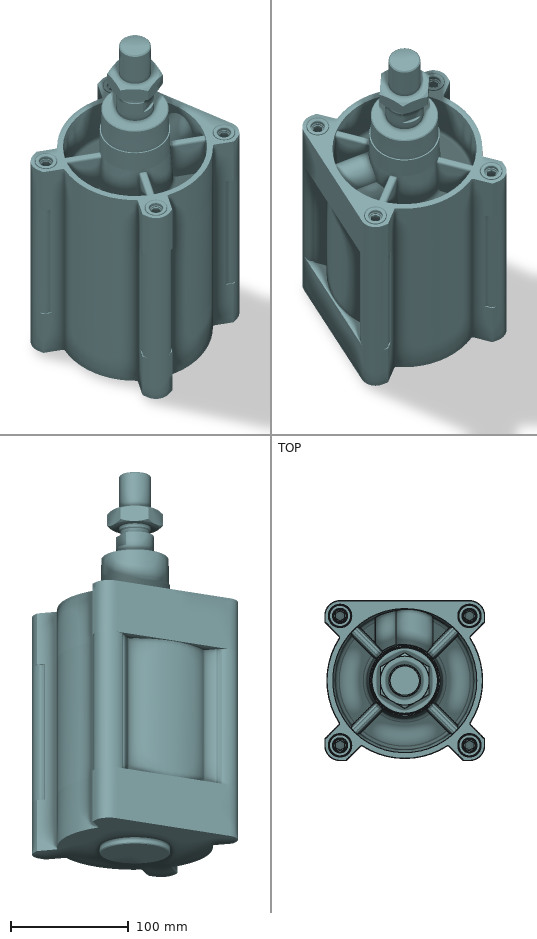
import cadquery as cq
import math


TOTAL_LENGTH = 335.0
REAR_BOSS_LENGTH = 5.5
HOUSING_LENGTH = 211.0
CAP_LENGTH = 45.3
FRONT_FACE_Z = REAR_BOSS_LENGTH + HOUSING_LENGTH
BARREL_START_Z = REAR_BOSS_LENGTH + CAP_LENGTH
BARREL_LENGTH = HOUSING_LENGTH - 2 * CAP_LENGTH

SQUARE_SIZE = 136.0
BODY_DIAMETER = 132.5
SCREW_SPACING = 110.0
HALF_SQUARE = SQUARE_SIZE / 2
SCREW_OFFSET = SCREW_SPACING / 2
LUG_RADIUS = HALF_SQUARE - SCREW_OFFSET
LUG_BLEND_RADIUS = 1.5
GROOVE_OUTER_DISTANCE = 82.0
GROOVE_DEEPEST_DISTANCE = 78.6
GROOVE_STEP_DISTANCE = 77.2
GROOVE_INNER_DISTANCE = 75.8
GROOVE_DEPTH = 0.9

BOSS_DIAMETER = 60.0
REAR_BOSS_CHAMFER = 0.8
COLLAR_SHOULDER_Z = 237.0
COLLAR_TOP_Z = 261.7
COLLAR_NOSE_BASE_DIAMETER = 58.0
COLLAR_NOSE_TOP_DIAMETER = 57.2
COLLAR_EDGE_CHAMFER = 0.8
RECESS_DEPTH = 38.0
RECESS_FLOOR_Z = FRONT_FACE_Z - RECESS_DEPTH
RECESS_TOP_DIAMETER = 122.5
RECESS_FLOOR_DIAMETER = 117.0
COLLAR_FOOT_DIAMETER = 65.0
RECESS_FLOOR_FILLET = 3.0

RIB_TOP_WIDTH = 6.8
RIB_FLOOR_WIDTH = 9.8
RIB_TOP_GAP = 2.2
RIB_FILLET = 2.0
PORT_X = 8.2
PORT_DIAMETER = 31.5
PORT_DEPTH = CAP_LENGTH / 2
CUSHION_X = -10.0
CUSHION_DIAMETER = 30.4
CUSHION_DEPTH = 35.0

SCREW_SEAT_TOP_DIAMETER = 19.9
SCREW_SEAT_DIAMETER = 18.63
SCREW_HEAD_DIAMETER = 18.0
SCREW_SEAT_DEPTH = 3.0
THREAD_MOUTH_DIAMETER = 12.8
THREAD_DIAMETER = 12.0
THREAD_CORE_DIAMETER = 10.11
THREAD_DEPTH = 3.0
THREAD_CORE_DEPTH = 4.0
HEX_KEY_SIZE = 7.5
HEX_KEY_DEPTH = 8.0

ROD_DIAMETER = 32.0
ROD_THREAD_DIAMETER = 27.0
ROD_UNDERCUT_DIAMETER = 24.84
ROD_FLATS_SIZE = 27.0
ROD_FLATS_START_Z = 270.0
ROD_SHOULDER_Z = 281.2
ROD_UNDERCUT_TOP_Z = 286.5
ROD_UNDERCUT_FILLET = 1.0
ROD_TIP_CHAMFER = 1.05
ROD_SOCKET_END_Z = RECESS_FLOOR_Z
NUT_START_Z = 289.2
NUT_THICKNESS = 13.5
NUT_SIZE = 41.0
NUT_FACE_DIAMETER = 41.5
NUT_CHAMFER_ANGLE = 30.0

DIAGONAL_ANGLES = [45, 135, 225, 315]
SCREW_CENTRES = [(x, y) for x in (-SCREW_OFFSET, SCREW_OFFSET) for y in (-SCREW_OFFSET, SCREW_OFFSET)]


def cylinder(diameter, start_z, length):
    """Solid cylinder on the Z axis."""
    return cq.Workplane("XY").workplane(offset=start_z).circle(diameter / 2).extrude(length)


def cone(start_diameter, end_diameter, start_z, length):
    """Solid truncated cone on the Z axis."""
    return (
        cq.Workplane("XY").workplane(offset=start_z).circle(start_diameter / 2)
        .workplane(offset=length).circle(end_diameter / 2).loft(ruled=True)
    )


def hexagon(across_flats, start_z, length):
    """Hexagonal prism with two corners on the Y axis."""
    across_corners = across_flats / math.cos(math.radians(30))
    return (
        cq.Workplane("XY").workplane(offset=start_z)
        .polygon(6, across_corners).extrude(length).rotate((0, 0, 0), (0, 0, 1), 30)
    )


def round_lug_pair(start_z, length):
    """Diagonal bar through two opposite corners with half-round ends about the screw axes."""
    tip_to_tip = 2 * (math.hypot(SCREW_OFFSET, SCREW_OFFSET) + LUG_RADIUS)
    return (
        cq.Workplane("XY").workplane(offset=start_z).slot2D(tip_to_tip, 2 * LUG_RADIUS, 45)
        .extrude(length)
    )


def square_lug_pair(start_z, length):
    """Diagonal bar through two opposite corners, trimmed to the rounded square."""
    square = (
        cq.Workplane("XY").workplane(offset=start_z).rect(SQUARE_SIZE, SQUARE_SIZE).extrude(length)
        .edges("|Z").fillet(LUG_RADIUS)
    )
    bar = (
        cq.Workplane("XY").workplane(offset=start_z).rect(2 * SQUARE_SIZE, 2 * LUG_RADIUS).extrude(length)
        .rotate((0, 0, 0), (0, 0, 1), 45)
    )
    return bar.intersect(square)


def lugged_section(lugs, start_z, length):
    """Round body with four corner lugs, blended where the lugs leave the body."""
    section = (
        cylinder(BODY_DIAMETER, start_z, length).union(lugs)
        .union(lugs.rotate((0, 0, 0), (0, 0, 1), 90))
    )
    along = math.sqrt((BODY_DIAMETER / 2) ** 2 - LUG_RADIUS ** 2)
    near = (along - LUG_RADIUS) / math.sqrt(2)
    far = (along + LUG_RADIUS) / math.sqrt(2)
    pick_margin = 0.5
    for sx in (-1, 1):
        for sy in (-1, 1):
            for x, y in ((near, far), (far, near)):
                corner = cq.selectors.BoxSelector(
                    (sx * x - pick_margin, sy * y - pick_margin, start_z - pick_margin),
                    (sx * x + pick_margin, sy * y + pick_margin, start_z + length + pick_margin),
                )
                section = section.edges(corner).edges("|Z").fillet(LUG_BLEND_RADIUS)
    return section


def cap(start_z):
    """End cap: lugged section with the +Y side filled out to a flat port face."""
    port_block = (
        cq.Workplane("XY").workplane(offset=start_z)
        .center(0, HALF_SQUARE / 2 + SCREW_OFFSET / 2)
        .rect(SCREW_SPACING, LUG_RADIUS).extrude(CAP_LENGTH)
    )
    filler = (
        cq.Workplane("XY").workplane(offset=start_z)
        .polyline([(0, 0), (SCREW_OFFSET, SCREW_OFFSET), (-SCREW_OFFSET, SCREW_OFFSET)])
        .close().extrude(CAP_LENGTH)
    )
    lugs = square_lug_pair(start_z, CAP_LENGTH)
    return lugged_section(lugs, start_z, CAP_LENGTH).union(port_block).union(filler)


def barrel():
    """Middle section with a shallow groove along each side of each lug."""
    lugs = round_lug_pair(BARREL_START_Z, BARREL_LENGTH)
    section = lugged_section(lugs, BARREL_START_Z, BARREL_LENGTH)
    groove = (
        cq.Workplane("XY").workplane(offset=BARREL_START_Z)
        .polyline([
            (GROOVE_OUTER_DISTANCE, LUG_RADIUS),
            (GROOVE_DEEPEST_DISTANCE, LUG_RADIUS - GROOVE_DEPTH),
            (GROOVE_STEP_DISTANCE, LUG_RADIUS - GROOVE_DEPTH),
            (GROOVE_INNER_DISTANCE, LUG_RADIUS),
        ])
        .close().extrude(BARREL_LENGTH)
    )
    grooves = groove.union(groove.mirror("XZ"))
    for angle in DIAGONAL_ANGLES:
        section = section.cut(grooves.rotate((0, 0, 0), (0, 0, 1), angle))
    return section


def recess_envelope():
    """Tapered space inside the front cap wall, before the collar and ribs fill part of it."""
    return cone(RECESS_FLOOR_DIAMETER, RECESS_TOP_DIAMETER, RECESS_FLOOR_Z, RECESS_DEPTH)


def front_recess():
    """Ring-shaped pocket around the tapered foot of the collar."""
    foot = cone(COLLAR_FOOT_DIAMETER, BOSS_DIAMETER, RECESS_FLOOR_Z, RECESS_DEPTH)
    return recess_envelope().cut(foot).faces("<Z").edges().fillet(RECESS_FLOOR_FILLET)


def recess_ribs():
    """Four diagonal ribs with rounded tops joining the collar to the wall."""
    top_z = FRONT_FACE_Z - RIB_TOP_GAP
    rib = (
        cq.Workplane("YZ")
        .polyline([
            (-RIB_FLOOR_WIDTH / 2, RECESS_FLOOR_Z),
            (RIB_FLOOR_WIDTH / 2, RECESS_FLOOR_Z),
            (RIB_TOP_WIDTH / 2, top_z),
            (-RIB_TOP_WIDTH / 2, top_z),
        ])
        .close().extrude(RECESS_TOP_DIAMETER / 2, both=True)
        .faces(">Z").edges("|X").fillet(RIB_FILLET)
        .rotate((0, 0, 0), (0, 0, 1), 45)
    )
    ribs = rib.union(rib.rotate((0, 0, 0), (0, 0, 1), 90))
    return ribs.intersect(recess_envelope())


def recess_boss(x, diameter, depth):
    """Round boss running along +Y from the collar to the recess wall."""
    boss = (
        cq.Workplane("XZ").center(x, FRONT_FACE_Z - depth).circle(diameter / 2)
        .extrude(-RECESS_TOP_DIAMETER / 2)
    )
    return boss.intersect(recess_envelope())


def collar():
    """Front centring collar with its slightly tapered nose."""
    shoulder = cylinder(BOSS_DIAMETER, FRONT_FACE_Z, COLLAR_SHOULDER_Z - FRONT_FACE_Z)
    nose = cone(
        COLLAR_NOSE_BASE_DIAMETER, COLLAR_NOSE_TOP_DIAMETER,
        COLLAR_SHOULDER_Z, COLLAR_TOP_Z - COLLAR_SHOULDER_Z,
    ).faces(">Z").edges().chamfer(COLLAR_EDGE_CHAMFER)
    return shoulder.union(nose)


def screw_recess():
    """Cuts around and into one tie-rod screw: seat groove, threaded bore and hexagon socket."""
    seat_chamfer = (SCREW_SEAT_TOP_DIAMETER - SCREW_SEAT_DIAMETER) / 2
    head = cylinder(SCREW_HEAD_DIAMETER, FRONT_FACE_Z - SCREW_SEAT_DEPTH, SCREW_SEAT_DEPTH)
    seat = (
        cylinder(SCREW_SEAT_DIAMETER, FRONT_FACE_Z - SCREW_SEAT_DEPTH, SCREW_SEAT_DEPTH)
        .union(cone(SCREW_SEAT_DIAMETER, SCREW_SEAT_TOP_DIAMETER, FRONT_FACE_Z - seat_chamfer, seat_chamfer))
        .cut(head)
    )
    mouth_depth = (THREAD_MOUTH_DIAMETER - THREAD_DIAMETER) / 2
    mouth = cone(THREAD_DIAMETER, THREAD_MOUTH_DIAMETER, FRONT_FACE_Z - mouth_depth, mouth_depth)
    thread = cylinder(THREAD_DIAMETER, FRONT_FACE_Z - THREAD_DEPTH, THREAD_DEPTH)
    core = cylinder(THREAD_CORE_DIAMETER, FRONT_FACE_Z - THREAD_CORE_DEPTH, THREAD_CORE_DEPTH)
    socket_depth = THREAD_CORE_DEPTH + HEX_KEY_DEPTH
    socket = hexagon(HEX_KEY_SIZE, FRONT_FACE_Z - socket_depth, socket_depth)
    return seat, mouth.union(thread).union(core).union(socket)


def make_housing():
    """Rear cap, barrel and front cap as one body with a blind socket for the piston rod."""
    rear_boss = (
        cylinder(BOSS_DIAMETER, 0, REAR_BOSS_LENGTH).faces("<Z").edges().chamfer(REAR_BOSS_CHAMFER)
    )
    body = rear_boss.union(cap(REAR_BOSS_LENGTH), clean=False)
    body = body.union(barrel(), clean=False)
    front_cap = (
        cap(FRONT_FACE_Z - CAP_LENGTH).cut(front_recess()).union(recess_ribs())
        .union(recess_boss(PORT_X, PORT_DIAMETER, PORT_DEPTH))
        .union(recess_boss(CUSHION_X, CUSHION_DIAMETER, CUSHION_DEPTH))
    )
    for x, y in SCREW_CENTRES:
        for tool in screw_recess():
            front_cap = front_cap.cut(tool.translate((x, y, 0)))
    body = body.union(front_cap, clean=False).union(collar(), clean=False)
    rod_socket = cylinder(ROD_DIAMETER, ROD_SOCKET_END_Z, COLLAR_TOP_Z - ROD_SOCKET_END_Z)
    return body.cut(rod_socket, clean=False)


def make_piston_rod():
    """Rod with wrench flats, thread undercut and threaded end."""
    shaft = cylinder(ROD_DIAMETER, ROD_SOCKET_END_Z, ROD_SHOULDER_Z - ROD_SOCKET_END_Z)
    flat_length = ROD_SHOULDER_Z - ROD_FLATS_START_Z
    flat_cut_width = ROD_DIAMETER - ROD_FLATS_SIZE
    flats = cq.Workplane("XY").workplane(offset=ROD_FLATS_START_Z).pushPoints(
        [(side * ROD_DIAMETER / 2, 0) for side in (-1, 1)]
    ).rect(flat_cut_width, ROD_DIAMETER).extrude(flat_length)
    thread_step = (ROD_THREAD_DIAMETER - ROD_UNDERCUT_DIAMETER) / 2
    undercut = cylinder(ROD_UNDERCUT_DIAMETER, ROD_SHOULDER_Z, ROD_UNDERCUT_TOP_Z - ROD_SHOULDER_Z)
    thread_runout = cone(
        ROD_UNDERCUT_DIAMETER, ROD_THREAD_DIAMETER, ROD_UNDERCUT_TOP_Z - thread_step, thread_step
    )
    thread = (
        cylinder(ROD_THREAD_DIAMETER, ROD_UNDERCUT_TOP_Z, TOTAL_LENGTH - ROD_UNDERCUT_TOP_Z)
        .faces(">Z").edges().chamfer(ROD_TIP_CHAMFER)
    )
    shoulder_corner = cq.selectors.BoxSelector(
        (-ROD_THREAD_DIAMETER, -ROD_THREAD_DIAMETER, ROD_SHOULDER_Z - thread_step / 2),
        (ROD_THREAD_DIAMETER, ROD_THREAD_DIAMETER, ROD_SHOULDER_Z + thread_step / 2),
    )
    rod = shaft.cut(flats).union(undercut).union(thread_runout).union(thread)
    return rod.edges(shoulder_corner).edges(cq.selectors.RadiusNthSelector(0)).fillet(ROD_UNDERCUT_FILLET)


def make_nut():
    """Thin hexagon nut with its corners chamfered at both ends."""
    slope = math.tan(math.radians(NUT_CHAMFER_ANGLE))
    half = NUT_THICKNESS / 2
    middle_diameter = NUT_FACE_DIAMETER + NUT_THICKNESS / slope
    lower = cone(NUT_FACE_DIAMETER, middle_diameter, NUT_START_Z, half)
    upper = cone(middle_diameter, NUT_FACE_DIAMETER, NUT_START_Z + half, half)
    nut = hexagon(NUT_SIZE, NUT_START_Z, NUT_THICKNESS).intersect(lower.union(upper))
    return nut.cut(cylinder(ROD_THREAD_DIAMETER, NUT_START_Z, NUT_THICKNESS))


housing = make_housing()
piston_rod = make_piston_rod()
nut = make_nut()

result = cq.Compound.makeCompound([housing.solids().val(), piston_rod.solids().val(), nut.solids().val()])